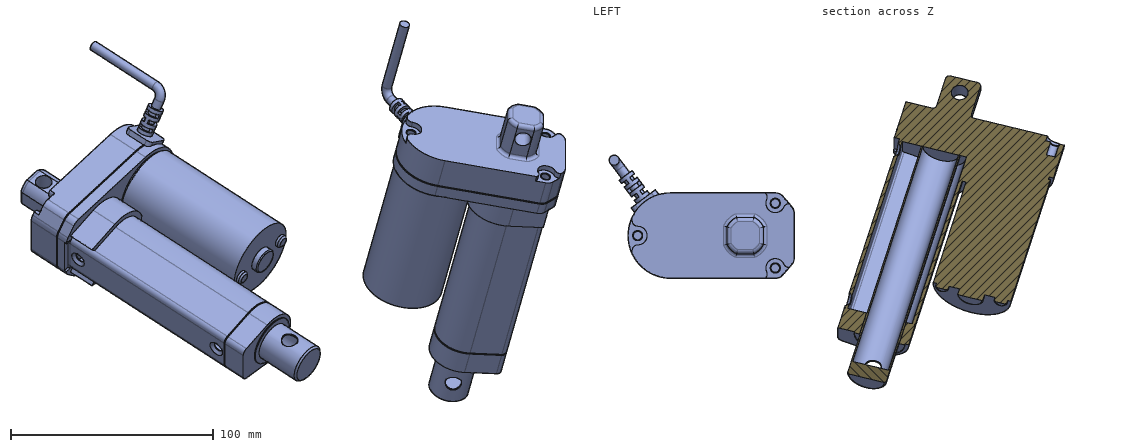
import cadquery as cq
import math


GEARBOX_HALF_HEIGHT = 21.2
GEARBOX_SIDE_Y = -24.2
GEARBOX_FRONT_X = 22.7
CORNER_TOP_Y = -17.1
CORNER_SIDE_Z = 12.9
CORNER_FILLET = 5.0
NOTCH_HALF_HEIGHT = 10.8

GROOVE_WIDTH = 0.4
GROOVE_DEPTH = 0.4
GEARBOX_GROOVE_X = 16.4
CAP_GROOVE_X = 121.8

SCREW_POCKET_DEPTH = 2.9
SCREW_POCKET_RADIUS = 4.6
SCREW_POCKET_FLARE = 2.7
SCREW_POCKET_REACH = 11.5
SCREW_SEAT_DIAMETER = 5.0
SCREW_SEAT_DEPTH = 0.4
SCREW_HOLE_DIAMETER = 4.2
SCREW_HOLE_DEPTH = 7.7
CORNER_SCREW_Y = -14.8
CORNER_SCREW_Z = 16.0
CORNER_SCREW_ANGLE = 114.0
END_SCREW_Y = 53.1

CLEVIS_DIAMETER = 20.0
CLEVIS_WIDTH = 18.0
CLEVIS_LENGTH = 20.2
CLEVIS_EDGE_RADIUS = 2.1
CLEVIS_FOOT_RADIUS = 1.7
CLEVIS_HOLE_X = -12.1
PIN_HOLE_DIAMETER = 8.0

MOTOR_Y = 36.8
MOTOR_DIAMETER = 40.0
MOTOR_END_X = 96.5
MOTOR_COLLAR_DIAMETER = 38.0
MOTOR_COLLAR_END_X = 23.9
MOTOR_BOSS_DIAMETER = 13.0
MOTOR_BOSS_HEIGHT = 3.5
MOTOR_BOSS_CHAMFER = 0.5
MOTOR_SCREW_DIAMETER = 6.7
MOTOR_SCREW_HEIGHT = 2.3
MOTOR_SCREW_CHAMFER = 1.0
MOTOR_SCREW_OFFSET = 15.0

TUBE_START_X = 21.5
TUBE_END_X = 134.1
TUBE_RADIUS = 15.0
TUBE_WALL = 2.0
TUBE_SIDE_Y = -21.5
TUBE_CORNER_Z = 11.0
TUBE_CORNER_FILLET = 3.0
TUBE_HOLE_DIAMETER = 8.0
TUBE_HOLE_INNER_DIAMETER = 5.0
TUBE_HOLE_XS = (28.0, 116.8)
SLEEVE_THICKNESS = 2.9
SLEEVE_END_X = 36.5
SLEEVE_TIP_Y = -21.2
SLEEVE_TIP_INNER_Y = -19.0

WIPER_DIAMETER = 26.0
WIPER_HEIGHT = 0.5
ROD_DIAMETER = 20.0
ROD_BORE = 18.0
ROD_BORE_END_X = 150.5
ROD_END_X = 158.2
ROD_CHAMFER = 1.0
ROD_HOLE_X = 146.0

CABLE_X = 10.8
CABLE_ANGLE = 53.1
CABLE_DIAMETER = 5.0
CABLE_BEND_RADIUS = 5.0
CABLE_REACH = 46.5
CABLE_TAIL_X = -34.3
FLANGE_X = 11.7
FLANGE_LENGTH = 15.4
FLANGE_WIDTH = 15.0
FLANGE_CORNER = 2.5
FLANGE_TOP = 22.7
RELIEF_DIAMETER = 8.0
RELIEF_RING_COUNT = 4
RELIEF_RING = 2.02
RELIEF_PITCH = 4.14
RELIEF_WEB = 2.1


def at_x(x):
    """Sketch plane normal to +X, with its first axis along +Y and its second along +Z."""
    return cq.Workplane("YZ", origin=(x, 0, 0))


def gearbox_block():
    """Gearbox case: round about the motor axis, chamfered corners on the rod side."""
    top = GEARBOX_HALF_HEIGHT
    block = (
        at_x(0)
        .moveTo(MOTOR_Y, -top)
        .threePointArc((MOTOR_Y + top, 0), (MOTOR_Y, top))
        .lineTo(CORNER_TOP_Y, top)
        .lineTo(GEARBOX_SIDE_Y, CORNER_SIDE_Z)
        .lineTo(GEARBOX_SIDE_Y, -CORNER_SIDE_Z)
        .lineTo(CORNER_TOP_Y, -top)
        .close()
        .extrude(GEARBOX_FRONT_X)
    )
    corners = cq.selectors.BoxSelector(
        (-2, GEARBOX_SIDE_Y - 2, -top - 2), (GEARBOX_FRONT_X + 2, CORNER_TOP_Y + 2, top + 2)
    )
    return block.edges("|X").edges(corners).fillet(CORNER_FILLET)


def prism(outline, start_x, end_x):
    """Straight block along X over a closed outline, wherever along X that outline lies."""
    base = outline.translate(cq.Vector(start_x - outline.BoundingBox().xmin, 0, 0))
    return cq.Workplane(cq.Solid.extrudeLinear(base, [], cq.Vector(end_x - start_x, 0, 0)))


def joint_groove(outline, x):
    """Ring to cut away so that a thin groove runs round an outline at `x`."""
    core = outline.offset2D(-GROOVE_DEPTH)[0]
    end_x = x + GROOVE_WIDTH
    return prism(outline, x, end_x).cut(prism(core, x, end_x))


def screw_pocket(y, z, angle):
    """Pocket round a cover screw, whose mouth flares out through the gearbox edge along `angle`."""
    radius = SCREW_POCKET_RADIUS
    flare = SCREW_POCKET_FLARE
    reach = SCREW_POCKET_REACH
    bend = flare * (1 - math.sqrt(0.5))
    rise = flare * math.sqrt(0.5)
    pocket = (
        at_x(0)
        .moveTo(0, -radius)
        .threePointArc((-radius, 0), (0, radius))
        .threePointArc((rise, radius + bend), (flare, radius + flare))
        .lineTo(flare, reach)
        .lineTo(reach, reach)
        .lineTo(reach, -reach)
        .lineTo(flare, -reach)
        .lineTo(flare, -radius - flare)
        .threePointArc((rise, -radius - bend), (0, -radius))
        .close()
        .extrude(SCREW_POCKET_DEPTH)
    )
    seat = at_x(SCREW_POCKET_DEPTH).circle(SCREW_SEAT_DIAMETER / 2).extrude(SCREW_SEAT_DEPTH)
    hole = at_x(SCREW_POCKET_DEPTH).circle(SCREW_HOLE_DIAMETER / 2).extrude(SCREW_HOLE_DEPTH)
    return pocket.union(seat).union(hole).rotate((0, 0, 0), (1, 0, 0), angle).translate((0, y, z))


def clevis():
    """Round bar with four flats and a rounded nose edge."""
    bar = at_x(-CLEVIS_LENGTH).circle(CLEVIS_DIAMETER / 2).extrude(CLEVIS_LENGTH)
    square = at_x(-CLEVIS_LENGTH).rect(CLEVIS_WIDTH, CLEVIS_WIDTH).extrude(CLEVIS_LENGTH)
    return bar.intersect(square).faces("<X").edges().fillet(CLEVIS_EDGE_RADIUS)


def pin_hole(x):
    """Vertical hole for a mounting pin, right through."""
    return cq.Workplane("XY").center(x, 0).circle(PIN_HOLE_DIAMETER / 2).extrude(GEARBOX_HALF_HEIGHT, both=True)


def gearbox():
    """Gearbox with the clevis on its rear face, screw pockets, the joint groove and the tube notch."""
    case = gearbox_block()
    outline = case.faces("<X").wires().val()
    notch_depth = GEARBOX_FRONT_X - TUBE_START_X
    notch = (
        at_x(TUBE_START_X)
        .center((GEARBOX_SIDE_Y + TUBE_SIDE_Y) / 2, 0)
        .rect(TUBE_SIDE_Y - GEARBOX_SIDE_Y, 2 * NOTCH_HALF_HEIGHT)
        .extrude(notch_depth)
    )
    foot = cq.selectors.BoxSelector((-0.2, -11.5, -11.5), (0.2, 11.5, 11.5))
    body = case.union(clevis()).edges(foot).fillet(CLEVIS_FOOT_RADIUS)
    body = body.cut(pin_hole(CLEVIS_HOLE_X)).cut(joint_groove(outline, GEARBOX_GROOVE_X)).cut(notch)
    body = body.cut(screw_pocket(END_SCREW_Y, 0, 0))
    for side in (1, -1):
        body = body.cut(screw_pocket(CORNER_SCREW_Y, side * CORNER_SCREW_Z, side * CORNER_SCREW_ANGLE))
    return body


def tangent_point(radius, corner_y, corner_z):
    """Point where the line from an outside corner touches the top of a circle about the rod axis."""
    angle = math.atan2(corner_z, corner_y) - math.acos(radius / math.hypot(corner_y, corner_z))
    return radius * math.cos(angle), radius * math.sin(angle)


def tube_block():
    """Solid guide tube: round toward the motor, tapering to a flat side with round corners."""
    touch_y, touch_z = tangent_point(TUBE_RADIUS, TUBE_SIDE_Y, TUBE_CORNER_Z)
    block = (
        at_x(TUBE_START_X)
        .moveTo(touch_y, -touch_z)
        .threePointArc((TUBE_RADIUS, 0), (touch_y, touch_z))
        .lineTo(TUBE_SIDE_Y, TUBE_CORNER_Z)
        .lineTo(TUBE_SIDE_Y, -TUBE_CORNER_Z)
        .close()
        .extrude(TUBE_END_X - TUBE_START_X)
    )
    return block.faces("<Y").edges("|X").fillet(TUBE_CORNER_FILLET)


def sleeve():
    """Wall round the tube, parallel to it, with tips cut back toward the tube."""
    touch_y, touch_z = tangent_point(TUBE_RADIUS, TUBE_SIDE_Y, TUBE_CORNER_Z)
    growth = 1 + SLEEVE_THICKNESS / TUBE_RADIUS
    slope = (touch_z - TUBE_CORNER_Z) / (touch_y - TUBE_SIDE_Y)
    outer_y = touch_y * growth
    outer_z = touch_z * growth
    tip_z = outer_z - slope * (outer_y - SLEEVE_TIP_Y)
    inner_z = touch_z - slope * (touch_y - SLEEVE_TIP_INNER_Y)
    return (
        at_x(GEARBOX_FRONT_X)
        .moveTo(outer_y, -outer_z)
        .threePointArc((TUBE_RADIUS * growth, 0), (outer_y, outer_z))
        .lineTo(SLEEVE_TIP_Y, tip_z)
        .lineTo(SLEEVE_TIP_INNER_Y, inner_z)
        .lineTo(SLEEVE_TIP_INNER_Y, -inner_z)
        .lineTo(SLEEVE_TIP_Y, -tip_z)
        .close()
        .extrude(SLEEVE_END_X - GEARBOX_FRONT_X)
    )


def tube_hole(x):
    """Countersunk hole through the flat side of the tube."""
    outer = TUBE_HOLE_DIAMETER / 2
    inner = TUBE_HOLE_INNER_DIAMETER / 2
    start = cq.Vector(x, TUBE_SIDE_Y, 0)
    inward = cq.Vector(0, 1, 0)
    sink = cq.Workplane(cq.Solid.makeCone(outer, inner, outer - inner, start, inward))
    return sink.union(cq.Workplane(cq.Solid.makeCylinder(inner, 2 * TUBE_WALL, start, inward)))


def motor():
    """Motor can on a narrower collar, with a boss and two screw heads on its end."""
    collar = at_x(GEARBOX_FRONT_X).circle(MOTOR_COLLAR_DIAMETER / 2)
    can = at_x(MOTOR_COLLAR_END_X).circle(MOTOR_DIAMETER / 2)
    boss = at_x(MOTOR_END_X).circle(MOTOR_BOSS_DIAMETER / 2).extrude(MOTOR_BOSS_HEIGHT)
    screws = (
        at_x(MOTOR_END_X)
        .pushPoints([(-MOTOR_SCREW_OFFSET, 0), (MOTOR_SCREW_OFFSET, 0)])
        .circle(MOTOR_SCREW_DIAMETER / 2)
        .extrude(MOTOR_SCREW_HEIGHT)
    )
    body = (
        collar.extrude(MOTOR_COLLAR_END_X - GEARBOX_FRONT_X)
        .union(can.extrude(MOTOR_END_X - MOTOR_COLLAR_END_X))
        .union(boss.faces(">X").chamfer(MOTOR_BOSS_CHAMFER))
        .union(screws.faces(">X").chamfer(MOTOR_SCREW_CHAMFER))
    )
    return body.translate((0, MOTOR_Y, 0))


def housing():
    """Gearbox, motor and hollow guide tube; the rod runs in the closed end of the tube."""
    tube = tube_block()
    outline = tube.faces("<X").wires().val()
    cavity = prism(outline.offset2D(-TUBE_WALL)[0], GEARBOX_FRONT_X, CAP_GROOVE_X)
    wiper = at_x(TUBE_END_X).circle(WIPER_DIAMETER / 2).extrude(WIPER_HEIGHT)
    body = gearbox().union(tube).union(sleeve()).union(motor()).union(wiper)
    body = body.cut(cavity).cut(joint_groove(outline, CAP_GROOVE_X))
    for x in TUBE_HOLE_XS:
        body = body.cut(tube_hole(x))
    rod_way = at_x(GEARBOX_FRONT_X).circle(ROD_DIAMETER / 2).extrude(ROD_END_X - GEARBOX_FRONT_X)
    return body.cut(rod_way)


def piston_rod():
    """Tubular rod with a solid tip, a chamfered end and a cross hole."""
    rod = at_x(GEARBOX_FRONT_X).circle(ROD_DIAMETER / 2).extrude(ROD_END_X - GEARBOX_FRONT_X)
    bore = at_x(GEARBOX_FRONT_X).circle(ROD_BORE / 2).extrude(ROD_BORE_END_X - GEARBOX_FRONT_X)
    return rod.faces(">X").chamfer(ROD_CHAMFER).cut(bore).cut(pin_hole(ROD_HOLE_X))


def strain_relief_ring(index):
    """One ring of the strain relief, with a pair of webs up to the next ring."""
    base = FLANGE_TOP + index * RELIEF_PITCH
    ring = cq.Workplane("XY", origin=(0, 0, base)).circle(RELIEF_DIAMETER / 2).extrude(RELIEF_RING)
    if index == RELIEF_RING_COUNT - 1:
        return ring
    gap = RELIEF_PITCH - RELIEF_RING
    web = cq.Workplane("XY", origin=(0, 0, base + RELIEF_RING)).circle(RELIEF_DIAMETER / 2).extrude(gap)
    across = (RELIEF_DIAMETER, RELIEF_WEB) if index % 2 == 0 else (RELIEF_WEB, RELIEF_DIAMETER)
    slab = cq.Workplane("XY", origin=(0, 0, base + RELIEF_RING)).rect(*across).extrude(gap)
    return ring.union(web.intersect(slab))


def cable():
    """Flange, strain relief and cable, built upright and then leaned over about the motor axis."""
    flange = (
        cq.Workplane("XY")
        .center(FLANGE_X - CABLE_X, 0)
        .rect(FLANGE_LENGTH, FLANGE_WIDTH)
        .extrude(FLANGE_TOP)
        .edges("|Z")
        .fillet(FLANGE_CORNER)
    )
    bend = CABLE_BEND_RADIUS
    path = (
        cq.Workplane("XZ")
        .moveTo(0, FLANGE_TOP)
        .lineTo(0, CABLE_REACH - bend)
        .threePointArc(
            (-bend * (1 - math.sqrt(0.5)), CABLE_REACH - bend * (1 - math.sqrt(0.5))), (-bend, CABLE_REACH)
        )
        .lineTo(CABLE_TAIL_X - CABLE_X, CABLE_REACH)
    )
    body = cq.Workplane("XY", origin=(0, 0, FLANGE_TOP)).circle(CABLE_DIAMETER / 2).sweep(path)
    for index in range(RELIEF_RING_COUNT):
        body = body.union(strain_relief_ring(index))
    body = body.union(flange)
    lean = CABLE_ANGLE - 90
    body = body.rotate((0, 0, 0), (1, 0, 0), lean).translate((CABLE_X, MOTOR_Y, 0))
    return body.cut(gearbox_block())


body = housing()
rod = piston_rod()
lead = cable()
result = cq.Compound.makeCompound([body.val(), rod.val(), lead.val()])